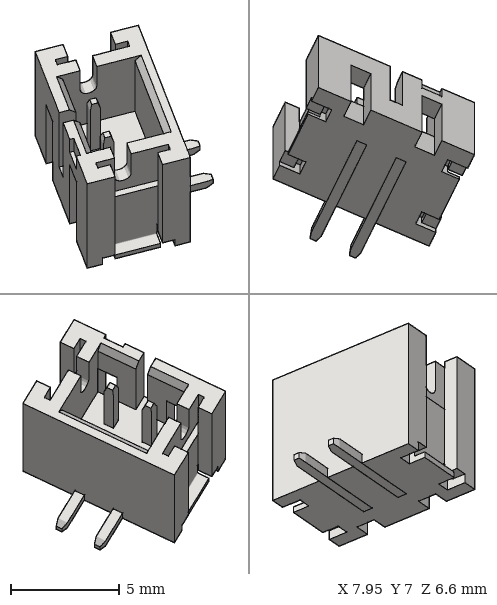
import cadquery as cq


width = 7.95
depth = 5.0
height = 6.6

cavity_width = 4.595
front_wall = 0.8
back_wall = 0.7
floor_height = 2.345
lead_in = 0.3
cavity_depth = depth - front_wall - back_wall

key_slot_width = 0.61
leg_notch_width = 1.0
leg_notch_height = 4.6
leg_notch_x = 1.805
mark_depth = 0.2
mark_height = 1.0

slot_inner_x = 2.95
sheet_thickness = 0.3
slot_outer_x = slot_inner_x + sheet_thickness
channel_width = 2.3
slot_width = 3.505
slot_center_y = depth / 2
foot_clearance_height = 0.48

side_cut_width = 0.8
side_cut_y = 2.05
side_cut_bottom = 4.69

tab_width = 3.395
tab_height = 4.0
tab_neck_width = 2.2
tab_neck_height = 1.0
foot_outer_x = 3.85
bend_radius = 0.055

pin_pitch = 2.0
pin_thickness = 0.5
pin_y = 1.9
pin_top = 5.8
pin_overhang = 2.0
pin_tip_length = 0.36
pin_tip_thickness = 0.3


def box(x_range, y_range, z_range):
    """Axis-aligned block between the given limits."""
    (x0, x1), (y0, y1), (z0, z1) = x_range, y_range, z_range
    return cq.Workplane("XY").box(x1 - x0, y1 - y0, z1 - z0, centered=False).translate((x0, y0, z0))


def span(center, size):
    """Limits of a stretch of the given size around a center."""
    return (center - size / 2, center + size / 2)


def make_cavity():
    """Plug cavity with a 45 degree lead-in on its front and back top edges."""
    y_front = front_wall
    y_back = front_wall + cavity_depth
    profile = [
        (y_front, floor_height),
        (y_back, floor_height),
        (y_back, height - lead_in),
        (y_back + lead_in, height),
        (y_front - lead_in, height),
        (y_front, height - lead_in),
    ]
    return cq.Workplane("YZ").polyline(profile).close().extrude(cavity_width / 2, both=True)


def make_front_openings():
    """Key slot, the two notches at the foot of the wall and the shallow mark recess."""
    wall = (0, front_wall)
    openings = box(span(0, key_slot_width), wall, (floor_height, height))
    for x in (-leg_notch_x, leg_notch_x):
        openings = openings.union(box(span(x, leg_notch_width), wall, (0, leg_notch_height)))
    mark = box(span(leg_notch_x, leg_notch_width), (0, mark_depth), (height - mark_height, height))
    return openings.union(mark)


def make_side_opening():
    """Space removed from the +X side: channel, tab slot, foot clearance and U cutout."""
    to_side = (slot_inner_x, width / 2)
    slot_y = span(slot_center_y, slot_width)
    channel = box(to_side, span(slot_center_y, channel_width), (0, height))
    slot = box((slot_inner_x, slot_outer_x), slot_y, (0, height))
    foot_clearance = box(to_side, slot_y, (0, foot_clearance_height))

    side_wall = (cavity_width / 2, slot_inner_x)
    radius = side_cut_width / 2
    arc_z = side_cut_bottom + radius
    cut_slot = box(side_wall, span(side_cut_y, side_cut_width), (arc_z, height))
    cut_round = (
        cq.Workplane("YZ", origin=(side_wall[0], side_cut_y, arc_z))
        .circle(radius)
        .extrude(side_wall[1] - side_wall[0])
    )
    return channel.union(slot).union(foot_clearance).union(cut_slot).union(cut_round)


def make_solder_tab():
    """Bent sheet tab of the +X side: an upright plate and a foot pointing outward."""
    plate_x = (slot_inner_x, slot_outer_x)
    neck_y = span(slot_center_y, tab_neck_width)
    plate = box(plate_x, span(slot_center_y, tab_width), (tab_neck_height, tab_height))
    neck = box(plate_x, neck_y, (0, tab_neck_height))
    foot = box((slot_inner_x, foot_outer_x), neck_y, (0, sheet_thickness))
    angle = neck.union(foot)
    inside_bend = cq.NearestToPointSelector((slot_outer_x, slot_center_y, sheet_thickness))
    return plate.union(angle.edges(inside_bend).fillet(bend_radius))


def make_pin(x):
    """Square L-shaped contact with a tapered tip at each end."""
    tail_end = depth + pin_overhang
    square_x = span(x, pin_thickness)
    post_y = span(pin_y, pin_thickness)
    post = box(square_x, post_y, (0, pin_top - pin_tip_length))
    tail = box(square_x, (post_y[0], tail_end - pin_tip_length), (0, pin_thickness))
    pin = post.union(tail)
    for end in (">Z", ">Y"):
        tip = (
            pin.faces(end)
            .workplane(centerOption="CenterOfBoundBox")
            .rect(pin_thickness, pin_thickness)
            .workplane(offset=pin_tip_length)
            .rect(pin_tip_thickness, pin_tip_thickness)
            .loft(combine=False)
        )
        pin = pin.union(tip)
    return pin


def make_housing(pins):
    """Housing with both solder tabs formed on it and a seat for every pin."""
    housing = box(span(0, width), (0, depth), (0, height))
    housing = housing.cut(make_cavity()).cut(make_front_openings())

    side_opening = make_side_opening()
    housing = housing.cut(side_opening).cut(side_opening.mirror("YZ"))

    tab = make_solder_tab()
    housing = housing.union(tab).union(tab.mirror("YZ"))

    for pin in pins:
        housing = housing.cut(pin)
    return housing


pins = [make_pin(x) for x in (-pin_pitch / 2, pin_pitch / 2)]
housing = make_housing(pins)

result = cq.Compound.makeCompound([housing.val()] + [pin.val() for pin in pins])